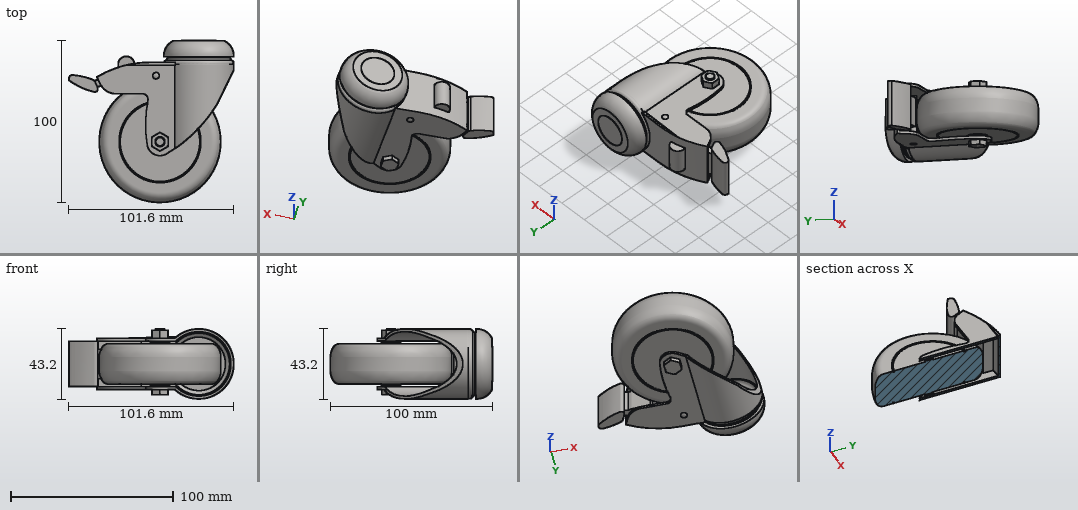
import cadquery as cq
import math


TYRE_RADIUS = 37.5
WHEEL_HALF_WIDTH = 12.5
SIDE_FACE_RADIUS = 31.4
SHOULDER_RADIUS = 35.4
SHOULDER_HALF_WIDTH = 10.7
TREAD_HALF_WIDTH = 4.3
SHOULDER_CURVE = 4.9
TREAD_EDGE_CURVE = 10.7
GROOVE_INNER_RADIUS = 49.0 / 2
GROOVE_OUTER_RADIUS = 50.5 / 2
GROOVE_DEPTH = 0.8
HUB_BOSS_RADIUS = 12.0 / 2
HUB_BOSS_HEIGHT = 0.6

AXLE_RADIUS = 6.0 / 2
HEX_ACROSS_FLATS = 10.0
HEX_CHAMFER = 0.3
NUT_HEIGHT = 5.0
BOLT_HEAD_HEIGHT = 3.1
BOLT_END_LENGTH = 0.7
BOLT_END_CHAMFER = 0.4

SHEET = 1.8
FORK_HALF_WIDTH = 15.8
FORK_INSIDE = FORK_HALF_WIDTH - SHEET
WEB_TOP = 49.0
WEB_UNDERSIDE = WEB_TOP - SHEET
WEB_ARC_RADIUS = 64.8
WEB_ARC_END_X = -5.8
WEB_FRONT_X = -38.9
WEB_FLAT_END_X = 9.5
LIP_START_X = -22.4
LIP_WIDTH = 0.9
AXLE_END_RADIUS = 16.0 / 2
AXLE_END_CENTRE_Y = -0.6
AXLE_END_FRONT_X = -7.8
AXLE_END_REAR_X = 3.6
ARM_UNDERSIDE = 29.5
CAVITY_BOTTOM = AXLE_END_CENTRE_Y - 2 * AXLE_END_RADIUS

SWIVEL_X = 23.9
SHELL_RADIUS = 21.6
SHELL_INSIDE = SHELL_RADIUS - SHEET
SHELL_REAR_LOW_Y = 44.2
SHELL_START_X = SWIVEL_X - math.sqrt(SHELL_RADIUS**2 - FORK_HALF_WIDTH**2)
ROOF_SHOULDER_RADIUS = 21.5
ROOF_SHOULDER_Y = 47.7
ROOF_TOP_RADIUS = 40.3 / 2
ROOF_TOP_Y = 50.3
NECK_RADIUS = 38.5 / 2
NECK_Y = 51.6
CAVITY_SHELF_RADIUS = 19.0
CAVITY_NECK_RADIUS = 17.5
CEILING_RADIUS = 16.5
CEILING_Y = 51.3
CAP_BOTTOM = 52.2
CAP_LIP = 0.3
CAP_SHOULDER_RADIUS = 17.2
CAP_SHOULDER_Y = 61.4
CAP_TOP_RADIUS = 15.6
CAP_TOP = 62.3
CAP_DISC_RADIUS = 10.6
CAP_DISC_HEIGHT = 0.2

PIN_X = -2.4
PIN_Y = 40.6
PIN_HEAD_RADIUS = 2.0
PIN_HEAD_HEIGHT = 0.6
BRAKE_PLATE_FRONT_X = -37.9
BRAKE_PLATE_END_X = -11.4
LEVER_HALF_WIDTH = 9.0
LEVER_END_X = -21.8
KNOB_RADIUS = 5.1
KNOB_STEM_HALF_WIDTH = 9.9 / 2
KNOB_X = -20.7
KNOB_Y = 47.5
PEDAL_HALF_WIDTH = FORK_INSIDE
PEDAL_TIP_X = -56.1


def disc(radius, low, high):
    """Cylinder about the axle between two heights."""
    return cq.Workplane("XY").workplane(offset=low).circle(radius).extrude(high - low)


def slab(profile, half_width):
    """Closed XY profile extruded equally to both sides of the middle plane."""
    return profile.extrude(half_width, both=True)


def block(x_low, x_high, y_low, y_high, half_width):
    """Box centred on the middle plane."""
    return cq.Workplane("XY").box(x_high - x_low, y_high - y_low, 2 * half_width).translate(
        ((x_low + x_high) / 2, (y_low + y_high) / 2, 0)
    )


def swivel_turned(profile):
    """XY profile, drawn with its X as a radius, turned about the swivel axis."""
    return profile.revolve(360, (0, 0, 0), (0, 1, 0)).translate((SWIVEL_X, 0, 0))


def make_wheel():
    section = (
        cq.Workplane("XZ")
        .moveTo(0, WHEEL_HALF_WIDTH)
        .lineTo(SIDE_FACE_RADIUS, WHEEL_HALF_WIDTH)
        .radiusArc((SHOULDER_RADIUS, SHOULDER_HALF_WIDTH), SHOULDER_CURVE)
        .radiusArc((TYRE_RADIUS, TREAD_HALF_WIDTH), TREAD_EDGE_CURVE)
        .lineTo(TYRE_RADIUS, -TREAD_HALF_WIDTH)
        .radiusArc((SHOULDER_RADIUS, -SHOULDER_HALF_WIDTH), TREAD_EDGE_CURVE)
        .radiusArc((SIDE_FACE_RADIUS, -WHEEL_HALF_WIDTH), SHOULDER_CURVE)
        .lineTo(0, -WHEEL_HALF_WIDTH)
        .close()
    )
    tyre = section.revolve(360, (0, 0, 0), (0, 1, 0))
    groove = disc(GROOVE_OUTER_RADIUS, WHEEL_HALF_WIDTH - GROOVE_DEPTH, WHEEL_HALF_WIDTH).cut(
        disc(GROOVE_INNER_RADIUS, WHEEL_HALF_WIDTH - GROOVE_DEPTH, WHEEL_HALF_WIDTH)
    )
    boss_top = WHEEL_HALF_WIDTH + HUB_BOSS_HEIGHT
    hub = disc(HUB_BOSS_RADIUS, -boss_top, boss_top)
    axle_hole = disc(AXLE_RADIUS, -boss_top, boss_top)
    return tyre.cut(groove).cut(groove.mirror("XY")).union(hub).cut(axle_hole)


def web_arc_y(x, radius):
    """Height on the curved front of the web, for an arc concentric with its top."""
    centre_y = WEB_TOP - WEB_ARC_RADIUS
    return centre_y + math.sqrt(radius**2 - (x - WEB_ARC_END_X) ** 2)


def axle_end_y(x):
    """Height on the lower arc that rounds the side plates off below the axle."""
    return AXLE_END_CENTRE_Y - math.sqrt(AXLE_END_RADIUS**2 - x**2)


def fork_profile():
    """Side outline of the fork, from the brake end round the axle to the swivel shell."""
    front_y = web_arc_y(WEB_FRONT_X, WEB_ARC_RADIUS)
    middle_x = (WEB_FRONT_X + WEB_ARC_END_X) / 2
    rear_x = SWIVEL_X + SHELL_RADIUS
    return (
        cq.Workplane("XY")
        .moveTo(WEB_FRONT_X, front_y)
        .threePointArc((middle_x, web_arc_y(middle_x, WEB_ARC_RADIUS)), (WEB_ARC_END_X, WEB_TOP))
        .lineTo(WEB_FLAT_END_X, WEB_TOP)
        .lineTo(WEB_FLAT_END_X, WEB_UNDERSIDE)
        .lineTo(rear_x, WEB_UNDERSIDE)
        .lineTo(rear_x, SHELL_REAR_LOW_Y)
        .lineTo(35.4, 23.4)
        .threePointArc((24.4, 8.9), (11.0, -3.0))
        .lineTo(AXLE_END_REAR_X, axle_end_y(AXLE_END_REAR_X))
        .threePointArc((0, axle_end_y(0)), (AXLE_END_FRONT_X, axle_end_y(AXLE_END_FRONT_X)))
        .threePointArc((-8.8, 10.7), (-7.4, 25.4))
        .threePointArc((-8.3, 28.4), (-11.4, ARM_UNDERSIDE))
        .lineTo(-28.1, ARM_UNDERSIDE)
        .threePointArc((-33.1, 31.3), (-36.3, 34.5))
        .close()
    )


def fork_channel():
    """Space between the side plates, under the web."""
    inner_radius = WEB_ARC_RADIUS - SHEET
    front_x = WEB_FRONT_X - SHEET
    middle_x = (front_x + WEB_ARC_END_X) / 2
    profile = (
        cq.Workplane("XY")
        .moveTo(front_x, web_arc_y(front_x, inner_radius))
        .threePointArc((middle_x, web_arc_y(middle_x, inner_radius)), (WEB_ARC_END_X, WEB_UNDERSIDE))
        .lineTo(SWIVEL_X, WEB_UNDERSIDE)
        .lineTo(SWIVEL_X, CAVITY_BOTTOM)
        .lineTo(front_x, CAVITY_BOTTOM)
        .close()
    )
    return slab(profile, FORK_INSIDE)


def web_lip():
    """Tapered strip by which the web stands out past the upper side plate."""
    return (
        cq.Workplane("XZ", origin=(0, WEB_TOP, 0))
        .moveTo(LIP_START_X, 0)
        .lineTo(LIP_START_X, FORK_HALF_WIDTH)
        .lineTo(WEB_FLAT_END_X, FORK_HALF_WIDTH + LIP_WIDTH)
        .lineTo(WEB_FLAT_END_X, 0)
        .close()
        .extrude(SHEET)
    )


def make_sheet_fork():
    shell_zone = (
        cq.Workplane("XZ", origin=(SWIVEL_X, WEB_TOP, 0))
        .circle(SHELL_RADIUS)
        .extrude(2 * WEB_TOP)
        .intersect(block(SHELL_START_X, SWIVEL_X + SHELL_RADIUS, -WEB_TOP, WEB_TOP, SHELL_RADIUS))
    )
    plate_zone = block(WEB_FRONT_X, WEB_FLAT_END_X, -WEB_TOP, WEB_TOP, FORK_HALF_WIDTH)
    zone = plate_zone.union(shell_zone).union(web_lip())
    return slab(fork_profile(), SHELL_RADIUS).intersect(zone).cut(fork_channel())


def rounding_middle(low_radius, low_y, top_radius, top_y):
    """Middle point of a convex rounding that starts upright and narrows to its top."""
    share = math.sqrt(0.5)
    return top_radius + (low_radius - top_radius) * share, low_y + (top_y - low_y) * share


def make_swivel_head():
    roof = swivel_turned(
        cq.Workplane("XY")
        .moveTo(0, WEB_UNDERSIDE)
        .lineTo(SHELL_RADIUS, WEB_UNDERSIDE)
        .lineTo(ROOF_SHOULDER_RADIUS, ROOF_SHOULDER_Y)
        .threePointArc(
            rounding_middle(ROOF_SHOULDER_RADIUS, ROOF_SHOULDER_Y, ROOF_TOP_RADIUS, ROOF_TOP_Y),
            (ROOF_TOP_RADIUS, ROOF_TOP_Y),
        )
        .lineTo(NECK_RADIUS, NECK_Y)
        .lineTo(NECK_RADIUS, CAP_BOTTOM)
        .lineTo(0, CAP_BOTTOM)
        .close()
    )
    cap = swivel_turned(
        cq.Workplane("XY")
        .moveTo(0, CAP_BOTTOM)
        .lineTo(SHELL_RADIUS, CAP_BOTTOM)
        .lineTo(SHELL_RADIUS, CAP_BOTTOM + CAP_LIP)
        .threePointArc((20.3, 57.9), (CAP_SHOULDER_RADIUS, CAP_SHOULDER_Y))
        .lineTo(CAP_TOP_RADIUS, CAP_TOP)
        .lineTo(CAP_DISC_RADIUS, CAP_TOP)
        .lineTo(CAP_DISC_RADIUS, CAP_TOP + CAP_DISC_HEIGHT)
        .lineTo(0, CAP_TOP + CAP_DISC_HEIGHT)
        .close()
    )
    return roof.union(cap)


def swivel_cavity():
    """Round space inside the shell and the roof, open downwards."""
    return swivel_turned(
        cq.Workplane("XY")
        .moveTo(0, CAVITY_BOTTOM)
        .lineTo(SHELL_INSIDE, CAVITY_BOTTOM)
        .lineTo(SHELL_INSIDE, WEB_UNDERSIDE)
        .lineTo(CAVITY_SHELF_RADIUS, WEB_UNDERSIDE)
        .threePointArc(
            rounding_middle(CAVITY_SHELF_RADIUS, WEB_UNDERSIDE, CAVITY_NECK_RADIUS, ROOF_TOP_Y),
            (CAVITY_NECK_RADIUS, ROOF_TOP_Y),
        )
        .lineTo(CEILING_RADIUS, CEILING_Y)
        .lineTo(0, CEILING_Y)
        .close()
    )


def hexagon(height):
    """Hexagonal prism standing on the middle plane, with its top corners turned off."""
    corner_diameter = HEX_ACROSS_FLATS / math.cos(math.pi / 6)
    prism = cq.Workplane("XY").polygon(6, corner_diameter).extrude(height)
    turned = disc(corner_diameter / 2, 0, height).faces(">Z").chamfer(HEX_CHAMFER)
    return prism.rotate((0, 0, 0), (0, 0, 1), 30).intersect(turned)


def make_axle():
    nut = hexagon(NUT_HEIGHT).translate((0, 0, FORK_HALF_WIDTH))
    head = hexagon(BOLT_HEAD_HEIGHT).mirror("XY").translate((0, 0, -FORK_HALF_WIDTH))
    bolt_end = FORK_HALF_WIDTH + NUT_HEIGHT + BOLT_END_LENGTH
    shank = disc(AXLE_RADIUS, -FORK_HALF_WIDTH, bolt_end).faces(">Z").chamfer(BOLT_END_CHAMFER)
    return shank.union(nut).union(head)


def make_pin():
    """Brake pivot pin with a domed head on each side plate."""
    dome_radius = (PIN_HEAD_RADIUS**2 + PIN_HEAD_HEIGHT**2) / (2 * PIN_HEAD_HEIGHT)
    tip = FORK_HALF_WIDTH + PIN_HEAD_HEIGHT
    ball = cq.Workplane("XY").sphere(dome_radius).translate((0, 0, tip - dome_radius))
    head = ball.intersect(disc(PIN_HEAD_RADIUS, FORK_HALF_WIDTH, tip))
    shank = disc(PIN_HEAD_RADIUS, -FORK_HALF_WIDTH, FORK_HALF_WIDTH)
    pin = shank.union(head).union(head.mirror("XY"))
    return pin.translate((PIN_X, PIN_Y, 0))


def brake_plate():
    """Plate across the fork that fills the space above its sloping underside, up to the web."""
    profile = (
        cq.Workplane("XY")
        .moveTo(BRAKE_PLATE_FRONT_X, 38.3)
        .lineTo(BRAKE_PLATE_END_X, 40.0)
        .lineTo(BRAKE_PLATE_END_X, WEB_UNDERSIDE)
        .lineTo(BRAKE_PLATE_FRONT_X, WEB_UNDERSIDE)
        .close()
    )
    return slab(profile, FORK_INSIDE).intersect(fork_channel())


def make_brake():
    pedal = slab(
        cq.Workplane("XY")
        .moveTo(-53.6, 41.1)
        .threePointArc((-46.8, 40.0), (-41.6, 38.4))
        .lineTo(-40.2, 37.4)
        .lineTo(-38.4, 33.6)
        .lineTo(-38.2, 32.5)
        .threePointArc((-38.8, 31.1), (-40.8, 30.7))
        .threePointArc((-46.9, 32.6), (-52.3, 35.4))
        .lineTo(-54.6, 36.7)
        .lineTo(PEDAL_TIP_X, 37.8)
        .lineTo(PEDAL_TIP_X, 39.2)
        .threePointArc((-55.3, 40.6), (-53.6, 41.1))
        .close(),
        PEDAL_HALF_WIDTH,
    )
    lever = slab(
        cq.Workplane("XY")
        .moveTo(-40.3, 37.5)
        .lineTo(-38.0, 38.5)
        .lineTo(-25.7, 44.7)
        .lineTo(LEVER_END_X, 44.7)
        .lineTo(LEVER_END_X, 33.1)
        .lineTo(-34.0, 33.7)
        .lineTo(-36.3, 34.4)
        .lineTo(-38.4, 33.6)
        .close(),
        LEVER_HALF_WIDTH,
    )
    knob = slab(cq.Workplane("XY").center(KNOB_X, KNOB_Y).circle(KNOB_RADIUS), LEVER_HALF_WIDTH)
    stem_left = KNOB_X - KNOB_STEM_HALF_WIDTH
    stem_right = KNOB_X + KNOB_STEM_HALF_WIDTH
    knob_stem = block(stem_left, stem_right, KNOB_Y - KNOB_RADIUS, KNOB_Y, LEVER_HALF_WIDTH)
    return pedal.union(lever).union(knob).union(knob_stem).union(brake_plate())


def make_fork():
    """Fork with its swivel head, axle and brake."""
    fork = make_sheet_fork().union(make_swivel_head()).cut(swivel_cavity())
    return fork.union(make_brake()).union(make_pin()).union(make_axle())


wheel = make_wheel()
fork = make_fork()

result = cq.Compound.makeCompound([wheel.solids().val(), fork.solids().val()])